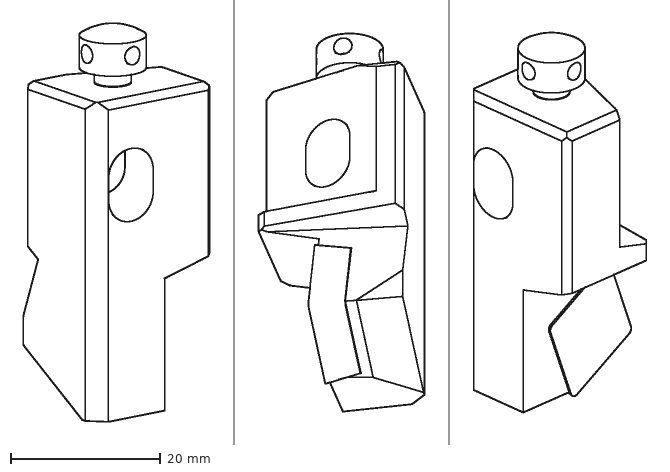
import cadquery as cq
import math


SHANK_WIDTH = 16.0
SHANK_DEPTH = 20.0
SHANK_HEIGHT = 44.3
EDGE_CHAMFER = 1.0
WIDE_CHAMFER = 2.2
SIDE_X = SHANK_WIDTH / 2
REACH = 79.4

CLAMP_ANGLE = 20.0
CLAMP_START_Y = 3.6
CLAMP_FLOOR_Z = 24.25
CLAMP_FLOOR_SLOPE = 15.0
SLOT_WIDTH = 7.05
SLOT_LENGTH = 10.1
SLOT_Y = 10.85
SLOT_Z = 32.3

NOTCH_X = -4.7
NOTCH_Z = 20.15
NOTCH_SLOPE = 30.0
SEAT_LEAN = 21.0
CLEARANCE = 7.0
TOE_DEPTH = 11.7
TOE_REACH = 6.35
BACK_CUT_Z = 18.35
BACK_CUT_SLOPE = 14.3
BOTTOM_SLOPE = 30.0
BOTTOM_EDGE_Z = 7.55
RELIEF_DEPTH = 5.7
RELIEF_RISE = 0.55
SIDE_RELIEF_SLOPE = 0.5

INSERT_SIDE = 12.9
INSERT_THICKNESS = 4.85
INSERT_FACE_Y = 12.05
INSERT_CORNER_X = -12.15
INSERT_CORNER_Z = 5.4
INSERT_LEAN = 20.0
NOSE_RADIUS = 0.8

SCREW_Y = 9.0
HEAD_DIAMETER = 9.0
HEAD_BOTTOM_Z = 46.35
HEAD_EDGE_Z = 50.85
HEAD_TOP_Z = 52.25
NECK_DIAMETER = 5.0
NECK_GAP = 0.1
STEM_DIAMETER = 4.9
STEM_DEPTH = 5.0
CROSS_HOLE_DIAMETER = 2.5
CROSS_HOLE_Z = 48.95


def tan(angle):
    return math.tan(math.radians(angle))


def half_space(point, normal):
    """Large block whose flat face passes through point and which lies on the normal's side."""
    return cq.Workplane(cq.Plane(origin=point, normal=normal)).rect(2 * REACH, 2 * REACH).extrude(REACH)


def shank_blank():
    full_block = cq.Workplane("XY").box(
        SHANK_WIDTH, SHANK_DEPTH, SHANK_HEIGHT, centered=(True, False, False)
    )
    block = full_block.edges("|Z and (<X or >Y)").chamfer(EDGE_CHAMFER)
    block = block.edges("|Z and >X and <Y").chamfer(WIDE_CHAMFER)
    return block.intersect(full_block.faces(">Z").chamfer(EDGE_CHAMFER))


def clamp_recess():
    """Block above the sloping floor, outside the slanted clamping face."""
    plane = cq.Plane(
        origin=(-SIDE_X, CLAMP_START_Y, CLAMP_FLOOR_Z),
        xDir=(-math.cos(math.radians(CLAMP_ANGLE)), math.sin(math.radians(CLAMP_ANGLE)), 0),
        normal=(math.sin(math.radians(CLAMP_ANGLE)), math.cos(math.radians(CLAMP_ANGLE)), 0),
    )
    outline = [
        (0, 0),
        (SHANK_DEPTH, -SHANK_DEPTH * tan(CLAMP_FLOOR_SLOPE)),
        (SHANK_DEPTH, SHANK_HEIGHT),
        (0, SHANK_HEIGHT),
    ]
    return cq.Workplane(plane).polyline(outline).close().extrude(REACH, both=True)


def clamp_slot():
    """Slot running square to the clamping face."""
    slot_x = -SIDE_X + (SLOT_Y - CLAMP_START_Y) * tan(CLAMP_ANGLE)
    plane = cq.Plane(
        origin=(slot_x, SLOT_Y, SLOT_Z),
        xDir=(0, 0, 1),
        normal=(math.cos(math.radians(CLAMP_ANGLE)), -math.sin(math.radians(CLAMP_ANGLE)), 0),
    )
    return cq.Workplane(plane).slot2D(SLOT_LENGTH, SLOT_WIDTH).extrude(SHANK_DEPTH, both=True)


def outside_seat():
    root = (NOTCH_X, 0, NOTCH_Z)
    return half_space(root, (-1, -tan(CLEARANCE) / math.cos(math.radians(SEAT_LEAN)), tan(SEAT_LEAN)))


def notch():
    """Wedge between the sloping roof and the insert seat."""
    root = (NOTCH_X, 0, NOTCH_Z)
    roof_fall = tan(NOTCH_SLOPE) * tan(CLEARANCE) / math.cos(math.radians(SEAT_LEAN))
    return half_space(root, (-tan(NOTCH_SLOPE), -roof_fall, -1)).intersect(outside_seat())


def toe():
    """Block carrying the insert beyond the -X side of the shank."""
    block = cq.Workplane("XY").box(SIDE_X + TOE_REACH, TOE_DEPTH, NOTCH_Z, centered=False)
    block = block.translate((-SIDE_X - TOE_REACH, 0, 0)).cut(outside_seat())
    return block.cut(half_space((-SIDE_X, 0, 0), (-1, -SIDE_RELIEF_SLOPE, 0)))


def back_cut():
    """Space behind the toe, under the sloping back of the shank."""
    back_z = BACK_CUT_Z + (SHANK_DEPTH - TOE_DEPTH) * tan(BACK_CUT_SLOPE)
    outline = [(TOE_DEPTH, 0), (SHANK_DEPTH, 0), (SHANK_DEPTH, back_z), (TOE_DEPTH, BACK_CUT_Z)]
    return cq.Workplane("YZ").polyline(outline).close().extrude(REACH, both=True)


def toe_reliefs():
    """Half spaces below the steep relief and below the primary clearance under the toe."""
    slope = tan(BOTTOM_SLOPE)
    primary_fall = tan(CLEARANCE) / math.cos(math.radians(BOTTOM_SLOPE))
    meeting_z = BOTTOM_EDGE_Z - RELIEF_DEPTH * RELIEF_RISE
    relief = half_space((-SIDE_X, 0, BOTTOM_EDGE_Z), (-slope, -RELIEF_RISE, -1))
    primary = half_space((-SIDE_X, RELIEF_DEPTH, meeting_z), (-slope, -primary_fall, -1))
    return relief, primary


def make_insert():
    lean = math.radians(INSERT_LEAN)
    slope = math.radians(BOTTOM_SLOPE)
    side_step = (INSERT_SIDE * math.sin(lean), INSERT_SIDE * math.cos(lean))
    bottom_step = (INSERT_SIDE * math.cos(slope), -INSERT_SIDE * math.sin(slope))
    corner = (INSERT_CORNER_X, INSERT_CORNER_Z)
    upper = (corner[0] + side_step[0], corner[1] + side_step[1])
    lower = (corner[0] + bottom_step[0], corner[1] + bottom_step[1])
    far = (upper[0] + bottom_step[0], upper[1] + bottom_step[1])
    rhombus = cq.Workplane("XZ", origin=(0, INSERT_FACE_Y, 0)).polyline([corner, lower, far, upper]).close()
    body = rhombus.extrude(INSERT_THICKNESS, taper=CLEARANCE)
    return body.edges("not #Y").fillet(NOSE_RADIUS)


def make_screw():
    head_radius = HEAD_DIAMETER / 2
    dome_height = HEAD_TOP_Z - HEAD_EDGE_Z
    dome_radius = (head_radius**2 + dome_height**2) / (2 * dome_height)
    half_chord = head_radius / 2
    dome_mid_z = HEAD_TOP_Z - dome_radius + math.sqrt(dome_radius**2 - half_chord**2)
    shoulder_z = SHANK_HEIGHT + NECK_GAP
    stem_z = SHANK_HEIGHT - STEM_DEPTH
    screw = (
        cq.Workplane("XZ")
        .moveTo(0, stem_z)
        .lineTo(STEM_DIAMETER / 2, stem_z)
        .lineTo(STEM_DIAMETER / 2, shoulder_z)
        .lineTo(NECK_DIAMETER / 2, shoulder_z)
        .lineTo(NECK_DIAMETER / 2, HEAD_BOTTOM_Z)
        .lineTo(head_radius, HEAD_BOTTOM_Z)
        .lineTo(head_radius, HEAD_EDGE_Z)
        .threePointArc((half_chord, dome_mid_z), (0, HEAD_TOP_Z))
        .close()
        .revolve(360, (0, 0, 0), (0, 1, 0))
    )
    for side in ("XZ", "YZ"):
        hole = cq.Workplane(side, origin=(0, 0, CROSS_HOLE_Z)).circle(CROSS_HOLE_DIAMETER / 2)
        screw = screw.cut(hole.extrude(HEAD_DIAMETER, both=True))
    return screw.translate((0, SCREW_Y, 0))


def make_holder(insert_body):
    body = shank_blank().cut(clamp_recess()).cut(clamp_slot()).cut(notch())
    body = body.union(toe()).cut(back_cut())
    relief, primary = toe_reliefs()
    body = body.cut(relief).cut(primary)
    stem_hole = cq.Workplane("XY", origin=(0, SCREW_Y, SHANK_HEIGHT)).circle(STEM_DIAMETER / 2)
    return body.cut(stem_hole.extrude(-STEM_DEPTH)).cut(insert_body)


insert = make_insert()
screw = make_screw()
holder = make_holder(insert)

result = cq.Compound.makeCompound([holder.val(), insert.val(), screw.val()])